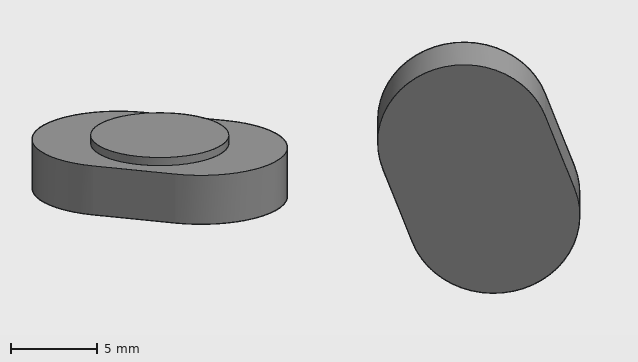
import cadquery as cq

length = 15.0
width = length * 2 / 3
body_height = 3.0
disc_diameter = 8.0
total_height = 3.5
disc_height = total_height - body_height

body = cq.Workplane("XY").slot2D(length, width).extrude(body_height)

disc = (
    cq.Workplane("XY")
    .workplane(offset=body_height)
    .circle(disc_diameter / 2)
    .extrude(disc_height)
)

result = body.union(disc)